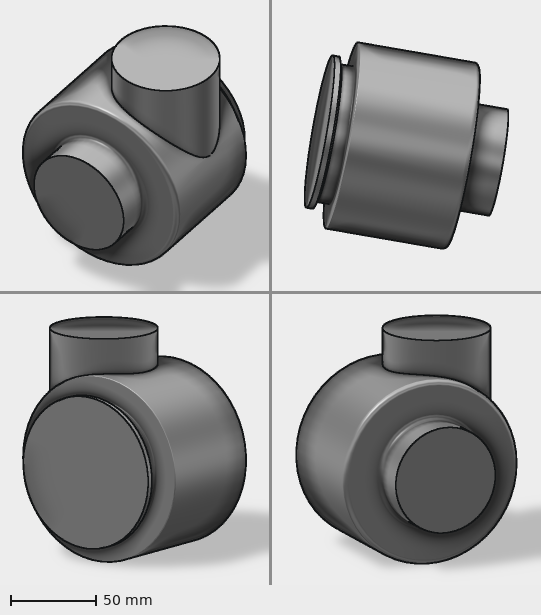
import cadquery as cq

drum_radius = 55.56
drum_length = 72.4
front_edge_round = 3.0
back_edge_round = 0.5

pipe_radius = 31.78
inlet_length = 21.1
inlet_flare = 3.0

outlet_offset = 20.3
overall_height = 132.1
outlet_top = overall_height - drum_radius
outlet_from_back = 32.6

neck_radius = 41.1
neck_flare = 0.9
flange_radius = 45.5
flange_rim = 3.7
flange_taper = 1.5
flange_back = 13.2


def revolved_body():
    """Drum, inlet, neck and flange as one profile turned about the Y axis."""
    front = -drum_length
    rim_start = flange_back - flange_rim
    profile = (
        cq.Workplane("XY")
        .moveTo(0, front - inlet_length)
        .lineTo(pipe_radius, front - inlet_length)
        .lineTo(pipe_radius, front - inlet_flare)
        .radiusArc((pipe_radius + inlet_flare, front), inlet_flare)
        .lineTo(drum_radius - front_edge_round, front)
        .radiusArc((drum_radius, front + front_edge_round), -front_edge_round)
        .lineTo(drum_radius, -back_edge_round)
        .radiusArc((drum_radius - back_edge_round, 0), -back_edge_round)
        .lineTo(neck_radius + neck_flare, 0)
        .radiusArc((neck_radius, neck_flare), neck_flare)
        .lineTo(neck_radius, rim_start - flange_taper)
        .lineTo(flange_radius, rim_start)
        .lineTo(flange_radius, flange_back)
        .lineTo(0, flange_back)
        .close()
    )
    return profile.revolve(360, (0, 0, 0), (0, 1, 0))


def outlet():
    """Solid pipe rising from the drum's axis plane, offset toward +X."""
    return (
        cq.Workplane("XY")
        .center(outlet_offset, -outlet_from_back)
        .circle(pipe_radius)
        .extrude(outlet_top)
    )


result = revolved_body().union(outlet())